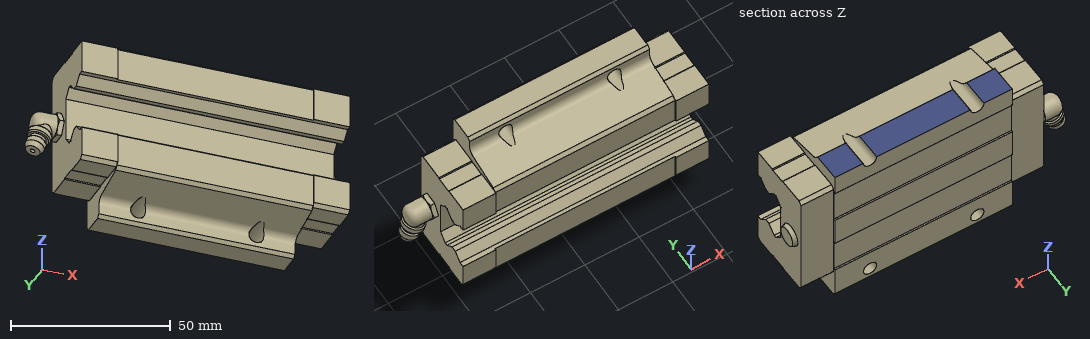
import cadquery as cq
import math


BODY_LENGTH = 66.3
CARRIAGE_LENGTH = 90.6
CAP_LENGTH = (CARRIAGE_LENGTH - BODY_LENGTH) / 2
BODY_DEPTH = 25.2
CARRIAGE_DEPTH = 25.7

FLANGE_HALF_WIDTH = 31.5
FLANGE_THICKNESS = 10.0
FLANGE_CHAMFER = 1.1
FLANK_ROOT_HALF_WIDTH = 25.1
FLANK_END_DEPTH = 24.0
FLANK_END_HALF_WIDTH = 22.2
FLANK_FILLET = 2.9
BODY_FRONT_HALF_WIDTH = 21.0

RELIEF_DEPTH = 0.6
RELIEF_INNER = 5.65
RELIEF_OUTER = 18.7

HOLE_DIAMETER = 4.92
HOLE_SPACING_X = 40.0
HOLE_SPACING_Z = 53.0

CAP_HALF_WIDTH = 21.3
CAP_BACK_DEPTH = 0.7
CAP_CHAMFER = 1.2
CAP_GROOVE_START = 11.3
CAP_GROOVE_END = 17.3
CAP_GROOVE_DEPTH = 0.3

CHANNEL_FLOOR_DEPTH = 12.4
CHANNEL_HALF_WIDTH = 7.3
CHANNEL_WIDE_HALF_WIDTH = 10.1
CHANNEL_FLANK = CHANNEL_WIDE_HALF_WIDTH - CHANNEL_HALF_WIDTH
VALLEY_START_DEPTH = 15.1
VALLEY_END_DEPTH = 16.2
LIP_START_DEPTH = 19.2
LIP_END_DEPTH = 21.1

PORT_DEPTH = 6.55
PLUG_BASE_DIAMETER = 8.0
PLUG_TIP_DIAMETER = 6.8
PLUG_HEIGHT = 1.55

HEX_ACROSS_FLATS = 8.0
HEX_LENGTH = 1.8
HEX_CHAMFER = 0.35
ELBOW_DIAMETER = 7.85
ELBOW_LENGTH = 9.4
ELBOW_ROUND = 2.6

NIPPLE_OFFSET = 4.92
NIPPLE_TILT = 20.8
STEM_DIAMETER = 7.0
COLLAR_DIAMETER = 8.0
COLLAR_START = 3.45
COLLAR_END = 6.0
COLLAR_CHAMFER = 0.45
NECK_DIAMETER = 5.5
NECK_END = 7.0
HEAD_DIAMETER = 6.6
HEAD_START = 7.45
HEAD_END = 9.3
TIP_DIAMETER = 4.92
TIP_END = 11.0
TIP_HOLE_DIAMETER = 1.5
TIP_HOLE_DEPTH = 1.0


def prism(points, x_start, length):
    """Extrude a (Y, Z) outline along X."""
    return cq.Workplane("YZ", origin=(x_start, 0, 0)).polyline(points).close().extrude(length)


def mirrored_outline(half):
    """Close a (depth, Z) half outline with its mirror image about Z = 0, as (Y, Z) points."""
    upper = [(-depth, z) for depth, z in half]
    lower = [(-depth, -z) for depth, z in reversed(half)]
    return upper + lower


def make_body():
    half = [
        (0, FLANGE_HALF_WIDTH - FLANGE_CHAMFER),
        (FLANGE_CHAMFER, FLANGE_HALF_WIDTH),
        (FLANGE_THICKNESS - FLANGE_CHAMFER, FLANGE_HALF_WIDTH),
        (FLANGE_THICKNESS, FLANGE_HALF_WIDTH - FLANGE_CHAMFER),
        (FLANGE_THICKNESS, FLANK_ROOT_HALF_WIDTH),
        (FLANK_END_DEPTH, FLANK_END_HALF_WIDTH),
        (BODY_DEPTH, BODY_FRONT_HALF_WIDTH),
    ]
    body = prism(mirrored_outline(half), -BODY_LENGTH / 2, BODY_LENGTH)
    for side in (1, -1):
        root = cq.selectors.NearestToPointSelector((0, -FLANGE_THICKNESS, side * FLANK_ROOT_HALF_WIDTH))
        body = body.edges("|X").edges(root).fillet(FLANK_FILLET)
    return body


def make_reliefs():
    center = (RELIEF_INNER + RELIEF_OUTER) / 2
    return (
        cq.Workplane("XZ")
        .pushPoints([(0, center), (0, -center)])
        .rect(BODY_LENGTH, RELIEF_OUTER - RELIEF_INNER)
        .extrude(RELIEF_DEPTH)
    )


def make_mounting_holes():
    return (
        cq.Workplane("XZ")
        .rarray(HOLE_SPACING_X, HOLE_SPACING_Z, 2, 2)
        .circle(HOLE_DIAMETER / 2)
        .extrude(CARRIAGE_DEPTH)
    )


def make_cap(x_start):
    groove_half_width = CAP_HALF_WIDTH - CAP_GROOVE_DEPTH
    half = [
        (CAP_BACK_DEPTH, CAP_HALF_WIDTH - CAP_CHAMFER),
        (CAP_BACK_DEPTH + CAP_CHAMFER, CAP_HALF_WIDTH),
        (CAP_GROOVE_START, CAP_HALF_WIDTH),
        (CAP_GROOVE_START + CAP_GROOVE_DEPTH, groove_half_width),
        (CAP_GROOVE_END - CAP_GROOVE_DEPTH, groove_half_width),
        (CAP_GROOVE_END, CAP_HALF_WIDTH),
        (CARRIAGE_DEPTH, CAP_HALF_WIDTH),
    ]
    cap = prism(mirrored_outline(half), x_start, CAP_LENGTH)
    return cap.edges("|X").edges("<Y").edges("<Z").chamfer(CAP_CHAMFER)


def make_channel():
    half = [
        (CHANNEL_FLOOR_DEPTH, CHANNEL_HALF_WIDTH),
        (VALLEY_START_DEPTH, CHANNEL_WIDE_HALF_WIDTH),
        (VALLEY_END_DEPTH, CHANNEL_WIDE_HALF_WIDTH),
        (LIP_START_DEPTH, CHANNEL_HALF_WIDTH),
        (LIP_END_DEPTH, CHANNEL_HALF_WIDTH),
        (LIP_END_DEPTH + CHANNEL_FLANK, CHANNEL_WIDE_HALF_WIDTH),
        (CARRIAGE_DEPTH, CHANNEL_WIDE_HALF_WIDTH),
    ]
    return prism(mirrored_outline(half), -CARRIAGE_LENGTH / 2, CARRIAGE_LENGTH)


def make_plug():
    return (
        cq.Workplane("YZ", origin=(CARRIAGE_LENGTH / 2, -PORT_DEPTH, 0))
        .circle(PLUG_BASE_DIAMETER / 2)
        .workplane(offset=PLUG_HEIGHT)
        .circle(PLUG_TIP_DIAMETER / 2)
        .loft()
    )


def make_elbow():
    """Hexagon and round-ended barrel pointing out of the cap toward -X."""
    seat = cq.Workplane("YZ", origin=(-CARRIAGE_LENGTH / 2, -PORT_DEPTH, 0))
    corner_radius = HEX_ACROSS_FLATS / math.sqrt(3)
    hexagon = seat.polygon(6, 2 * corner_radius).extrude(-HEX_LENGTH)
    trim = seat.circle(corner_radius).extrude(-HEX_LENGTH)
    corner_cut = corner_radius - HEX_ACROSS_FLATS / 2
    trim = trim.faces("<X").chamfer(HEX_CHAMFER, corner_cut)
    barrel = seat.circle(ELBOW_DIAMETER / 2).extrude(-ELBOW_LENGTH)
    barrel = barrel.faces("<X").edges().fillet(ELBOW_ROUND)
    return hexagon.intersect(trim).union(barrel)


def make_nipple():
    """Turned nipple leaving the barrel downward, tilted away from the cap."""
    collar_radius = COLLAR_DIAMETER / 2
    profile = [
        (0, 0),
        (STEM_DIAMETER / 2, 0),
        (STEM_DIAMETER / 2, -COLLAR_START),
        (collar_radius, -COLLAR_START - COLLAR_CHAMFER),
        (collar_radius, -COLLAR_END + COLLAR_CHAMFER),
        (collar_radius - COLLAR_CHAMFER, -COLLAR_END),
        (NECK_DIAMETER / 2, -COLLAR_END),
        (NECK_DIAMETER / 2, -NECK_END),
        (HEAD_DIAMETER / 2, -HEAD_START),
        (HEAD_DIAMETER / 2, -HEAD_END),
        (TIP_DIAMETER / 2, -TIP_END),
        (0, -TIP_END),
    ]
    nipple = cq.Workplane("XZ").polyline(profile).close().revolve(360, (0, 0, 0), (0, 1, 0))
    nipple = nipple.faces("<Z").workplane().hole(TIP_HOLE_DIAMETER, TIP_HOLE_DEPTH)
    nipple = nipple.rotate((0, 0, 0), (0, 1, 0), NIPPLE_TILT)
    return nipple.translate((-CARRIAGE_LENGTH / 2 - NIPPLE_OFFSET, -PORT_DEPTH, 0))


body = make_body().cut(make_reliefs()).cut(make_mounting_holes())
carriage = body.union(make_cap(-CARRIAGE_LENGTH / 2)).union(make_cap(BODY_LENGTH / 2))
carriage = carriage.cut(make_channel())
result = carriage.union(make_plug()).union(make_elbow()).union(make_nipple())